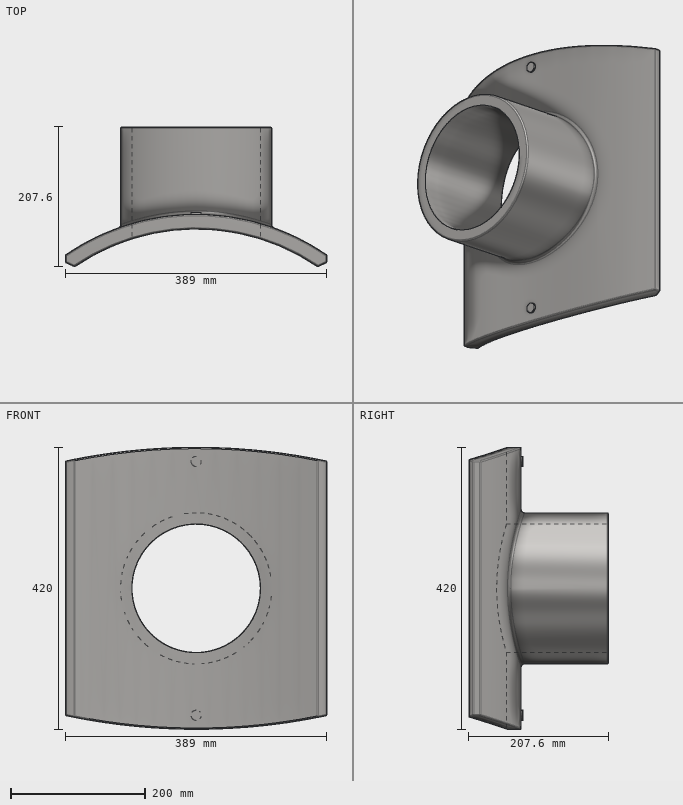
import cadquery as cq
import math

plate_width = 389.0
plate_height = 420.0
inner_radius = 320.0
plate_thickness = 22.0
outer_radius = inner_radius + plate_thickness
end_rise = 20.5
bevel_width = 13.5
bevel_rise = 6.5
edge_fillet = 2.0

neck_diameter = 225.0
bore_diameter = 191.0
neck_projection = 129.8
neck_root_fillet = 5.0

pad_diameter = 15.0
pad_projection = 2.5
pad_offset = 189.0

half_width = plate_width / 2
half_height = plate_height / 2
side_height = half_height - end_rise
bevel_x = half_width - bevel_width


def height_on_arc(radius, x):
    """Y position at x on a circle centred on the Z axis."""
    return math.sqrt(radius**2 - x**2)


plate_front_y = height_on_arc(inner_radius, bevel_x)
neck_end_y = outer_radius + neck_projection


def cylinder_along_y(diameter, start_y, end_y, z=0):
    return (
        cq.Workplane("XZ", origin=(0, start_y, z))
        .circle(diameter / 2)
        .extrude(start_y - end_y)
    )


def make_plate():
    outer_side_y = height_on_arc(outer_radius, half_width)
    bevel_top_y = plate_front_y + bevel_rise
    section = (
        cq.Workplane("XY")
        .moveTo(-half_width, outer_side_y)
        .threePointArc((0, outer_radius), (half_width, outer_side_y))
        .lineTo(half_width, bevel_top_y)
        .lineTo(bevel_x, plate_front_y)
        .threePointArc((0, inner_radius), (-bevel_x, plate_front_y))
        .lineTo(-half_width, bevel_top_y)
        .close()
        .extrude(half_height, both=True)
    )
    outline = (
        cq.Workplane("XZ")
        .moveTo(-half_width, side_height)
        .threePointArc((0, half_height), (half_width, side_height))
        .lineTo(half_width, -side_height)
        .threePointArc((0, -half_height), (-half_width, -side_height))
        .close()
        .extrude(-outer_radius)
    )
    return section.intersect(outline).edges().fillet(edge_fillet)


def add_neck(plate):
    neck = cylinder_along_y(neck_diameter, inner_radius, neck_end_y)
    neck = neck.faces(">Y").edges().fillet(edge_fillet)
    hollow = cq.Workplane("XY").circle(inner_radius).extrude(half_height, both=True)
    joined = plate.union(neck.cut(hollow))
    root_margin = 4.0
    root_reach = neck_diameter / 2 + root_margin
    root_zone = cq.selectors.BoxSelector(
        (-root_reach, plate_front_y, -root_reach),
        (root_reach, outer_radius + root_margin, root_reach),
        boundingbox=True,
    )
    return joined.edges(root_zone).fillet(neck_root_fillet)


def add_pads(body):
    pad_base_y = outer_radius - plate_thickness / 2
    pad_top_y = outer_radius + pad_projection
    for z in (-pad_offset, pad_offset):
        pad = cylinder_along_y(pad_diameter, pad_base_y, pad_top_y, z)
        body = body.union(pad)
    return body


bore = cylinder_along_y(bore_diameter, 0, neck_end_y)
result = add_pads(add_neck(make_plate())).cut(bore)